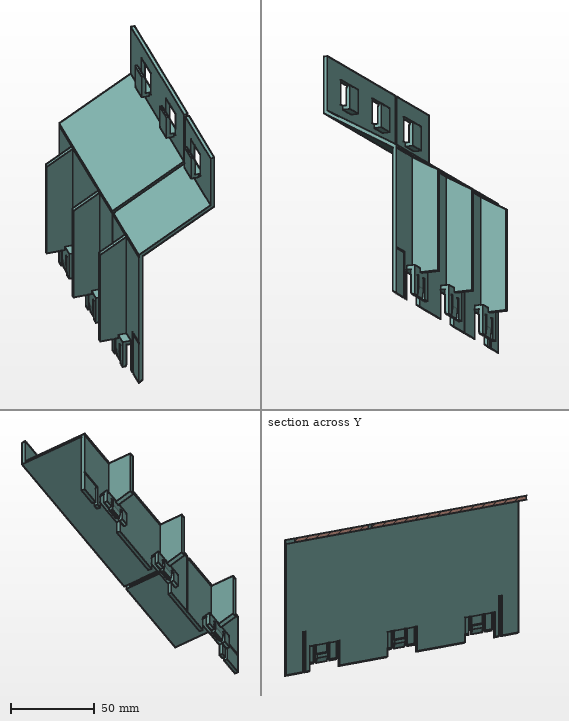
import cadquery as cq
import math

width = 149.5
depth = 64.4
height = 152.75
sheet = 2.5
slope_angle = math.radians(30)

rib_depth = 16.5
back_y = depth - rib_depth
slope_front_z = height - 60.1
bottom_bevel = 2.0

pole_pitch = 50.0
rib_thickness = 2.6
hook_pitch = 46.2

groove_width = 0.5
groove_depth = 0.25
groove_top_z = height - 61.4

split_x = 25.0
split_width = 2.0

window_width = 17.6
window_top_z = height - 9.9
hook_width = 12.6
hook_shelf_z = height - 25.4
hook_tip_z = height - 13.0
hook_reach = 4.8
hook_bevel_y = 1.2
hook_bevel_z = 2.0

clip_width = 19.3
clip_shelf_z = 21.1
clip_bottom_z = 3.1
clip_reach = 5.15
tongue_width = 6.9
tongue_slot_width = 1.75
tongue_slot_top_z = 16.1
barb_height = 1.2
barb_top_z = 9.8
barb_flat_z = 7.4
clip_lead_in = 0.6
tongue_slope_z = 9.3
tongue_slope_depth = 0.8

tab_width = 10.6
tab_slot_width = 1.9
tab_slot_top_z = 29.0

clip_shelf_underside_z = clip_shelf_z - sheet
rib_bottom_z = clip_shelf_underside_z


def extrude_profile(points, x_center, x_width):
    """Extrude a closed (Y, Z) outline symmetrically about x_center."""
    profile = cq.Workplane("YZ").polyline(points).close()
    return profile.extrude(x_width / 2, both=True).translate((x_center, 0, 0))


def block(x_range, y_range, z_range):
    """Box spanning the given (low, high) ranges."""
    low, high = zip(x_range, y_range, z_range)
    size = [b - a for a, b in zip(low, high)]
    return cq.Workplane("XY").box(*size, centered=False).translate(low)


def centered_range(center, size):
    return (center - size / 2, center + size / 2)


def make_sheet():
    """Upper panel, sloped panel and lower panel as one bent sheet."""
    rise = math.tan(slope_angle)
    drop = sheet / math.cos(slope_angle)
    points = [
        (0, 0),
        (0, slope_front_z),
        (back_y - sheet, slope_front_z + (back_y - sheet) * rise),
        (back_y - sheet, height),
        (back_y, height),
        (back_y, slope_front_z + back_y * rise - drop),
        (sheet, slope_front_z + sheet * rise - drop),
        (sheet, bottom_bevel),
    ]
    return extrude_profile(points, 0, width)


def make_rib(x):
    top_z = groove_top_z - groove_width
    points = [
        (0, rib_bottom_z),
        (0, top_z),
        (-rib_depth, top_z - rib_depth * math.tan(slope_angle)),
        (-rib_depth, rib_bottom_z),
    ]
    return extrude_profile(points, x, rib_thickness)


def make_hook(x):
    panel_y = back_y - sheet
    front_y = panel_y - hook_reach
    inner_y = front_y + sheet
    points = [
        (panel_y, hook_shelf_z),
        (panel_y, hook_shelf_z - sheet),
        (front_y, hook_shelf_z - sheet),
        (front_y, hook_tip_z),
        (inner_y - hook_bevel_y, hook_tip_z),
        (inner_y, hook_tip_z - hook_bevel_z),
        (inner_y, hook_shelf_z),
    ]
    return extrude_profile(points, x, hook_width)


def make_window(x):
    return block(
        centered_range(x, window_width),
        (back_y - sheet, back_y),
        (hook_shelf_z, window_top_z),
    )


def make_clip(x):
    """Hanging clip: two side arms and a barbed tongue below a shelf."""
    front_y = -clip_reach
    inner_y = front_y + sheet
    barb_y = inner_y + barb_height
    tip_y = inner_y - clip_lead_in
    lead_slope = (barb_flat_z - clip_bottom_z) / (barb_y - tip_y)
    lead_start_z = clip_bottom_z + clip_lead_in * lead_slope
    arm_points = [
        (0, clip_shelf_z),
        (front_y, clip_shelf_z),
        (front_y, clip_bottom_z),
        (tip_y, clip_bottom_z),
        (inner_y, lead_start_z),
        (inner_y, clip_shelf_underside_z),
        (0, clip_shelf_underside_z),
    ]
    tongue_points = [
        (front_y, tongue_slot_top_z),
        (front_y, tongue_slope_z),
        (front_y + tongue_slope_depth, clip_bottom_z),
        (tip_y, clip_bottom_z),
        (barb_y, barb_flat_z),
        (barb_y, barb_top_z),
        (inner_y, barb_top_z),
        (inner_y, tongue_slot_top_z),
    ]
    opening = block(
        centered_range(x, tongue_width + 2 * tongue_slot_width),
        (front_y, 0),
        (0, tongue_slot_top_z),
    )
    arms = extrude_profile(arm_points, x, clip_width).cut(opening)
    return arms.union(extrude_profile(tongue_points, x, tongue_width))


def make_clip_notch(x):
    return block(centered_range(x, clip_width), (0, sheet), (0, clip_shelf_underside_z))


def make_groove(x_range, z_range):
    return block(x_range, (0, groove_depth), z_range)


def cut_corner_tab(body, side):
    """Free a corner tab with a slot and a groove; side is -1 or +1."""
    edge = width / 2
    slot_outer = edge - tab_width
    slot_inner = slot_outer - tab_slot_width
    slot_x = sorted((side * slot_inner, side * slot_outer))
    groove_x = sorted((side * slot_inner, side * edge))
    slot = block(slot_x, (0, sheet), (0, tab_slot_top_z))
    groove = make_groove(groove_x, (tab_slot_top_z - groove_width, tab_slot_top_z))
    return body.cut(slot).cut(groove)


def cut_panel_split(body):
    """Split the upper panels and continue the split as a groove below."""
    gap = block(
        (split_x, split_x + split_width),
        (0, back_y),
        (groove_top_z, height),
    )
    lower_groove = make_groove((split_x, split_x + groove_width), (0, groove_top_z))
    slope_groove = make_groove(
        (-width / 2, width / 2),
        (groove_top_z - groove_width, groove_top_z),
    )
    return body.cut(gap).cut(lower_groove).cut(slope_groove)


body = cut_panel_split(make_sheet())
for side in (-1, 1):
    body = cut_corner_tab(body, side)
for pole in (-1, 0, 1):
    clip_x = pole * pole_pitch
    hook_x = pole * hook_pitch
    body = body.cut(make_clip_notch(clip_x)).cut(make_window(hook_x))
    body = body.union(make_rib(clip_x)).union(make_clip(clip_x)).union(make_hook(hook_x))

result = body